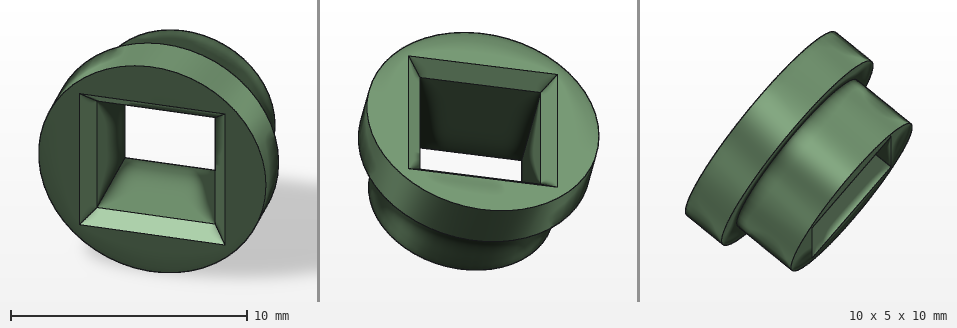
import cadquery as cq

flange_diameter = 10.0
flange_thickness = 2.0
body_diameter = 8.0
total_length = 5.0

hole_side = 5.2
lead_in = 0.6


def cylinder_along_y(diameter, length):
    """Cylinder running from Y = 0 toward +Y."""
    return cq.Workplane("XZ").circle(diameter / 2).extrude(-length)


def square_hole():
    """Cutter for the straight hole and its tapered mouth."""
    mouth_side = hole_side + 2 * lead_in
    straight = cq.Workplane("XZ").rect(hole_side, hole_side).extrude(-total_length)
    mouth = (
        cq.Workplane("XZ")
        .rect(mouth_side, mouth_side)
        .workplane(offset=-lead_in)
        .rect(hole_side, hole_side)
        .loft(ruled=True)
    )
    return straight.union(mouth)


flange = cylinder_along_y(flange_diameter, flange_thickness)
body = cylinder_along_y(body_diameter, total_length)
result = flange.union(body).cut(square_hole())